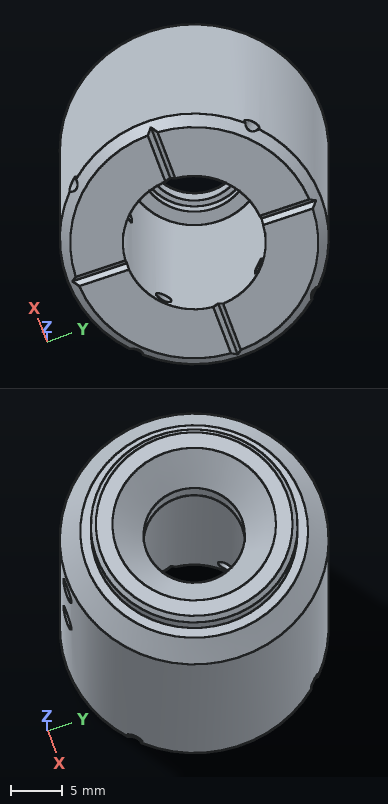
import cadquery as cq
import math

height = 28.9
body_diameter = 26.0
bottom_chamfer = 1.0
shoulder_chamfer = 2.0

collar_diameter = 20.0
collar_height = 2.0
collar_chamfer = 0.5

mouth_diameter = 15.8
throat_diameter = 9.8
middle_diameter = 11.0
cavity_diameter = 13.8
throat_bottom = 23.9
cavity_top = 22.48

side_hole_diameter = 2.4
side_hole_heights = (14.55, 21.73)
wrench_hole_diameter = 1.6
wrench_hole_height = 1.4
wrench_hole_angles = (45, 135, 225, 315)

groove_width = 1.0
groove_depth = groove_width / 2


def make_body():
    """Chamfered cylinder with a smaller collar on top."""
    body_height = height - collar_height
    body = (
        cq.Workplane("XY")
        .circle(body_diameter / 2)
        .extrude(body_height)
        .faces("<Z")
        .chamfer(bottom_chamfer)
        .faces(">Z")
        .chamfer(shoulder_chamfer)
    )
    collar = (
        cq.Workplane("XY")
        .workplane(offset=body_height)
        .circle(collar_diameter / 2)
        .extrude(collar_height)
        .faces(">Z")
        .chamfer(collar_chamfer)
    )
    return body.union(collar)


def make_bore():
    """Revolved through bore with a 45 degree conical mouth."""
    mouth_radius = mouth_diameter / 2
    throat_radius = throat_diameter / 2
    mouth_bottom = height - (mouth_radius - throat_radius)
    profile = [
        (0, 0),
        (cavity_diameter / 2, 0),
        (cavity_diameter / 2, cavity_top),
        (middle_diameter / 2, cavity_top),
        (middle_diameter / 2, throat_bottom),
        (throat_radius, throat_bottom),
        (throat_radius, mouth_bottom),
        (mouth_radius, height),
        (0, height),
    ]
    return cq.Workplane("XZ").polyline(profile).close().revolve(360, (0, 0), (0, 1))


def radial_hole(diameter, hole_height, angle):
    """Cylinder from the axis outward, at an angle measured from +X."""
    direction = cq.Vector(math.cos(math.radians(angle)), math.sin(math.radians(angle)), 0)
    return cq.Solid.makeCylinder(diameter / 2, body_diameter, cq.Vector(0, 0, hole_height), direction)


def bottom_groove(plane):
    """V groove running across the whole bottom face, normal to the plane."""
    return (
        cq.Workplane(plane)
        .polyline([(-groove_width / 2, 0), (groove_width / 2, 0), (0, groove_depth)])
        .close()
        .extrude(body_diameter, both=True)
    )


result = make_body().cut(make_bore())

for hole_height in side_hole_heights:
    result = result.cut(radial_hole(side_hole_diameter, hole_height, -90))

for angle in wrench_hole_angles:
    result = result.cut(radial_hole(wrench_hole_diameter, wrench_hole_height, angle))

for plane in ("XZ", "YZ"):
    result = result.cut(bottom_groove(plane))